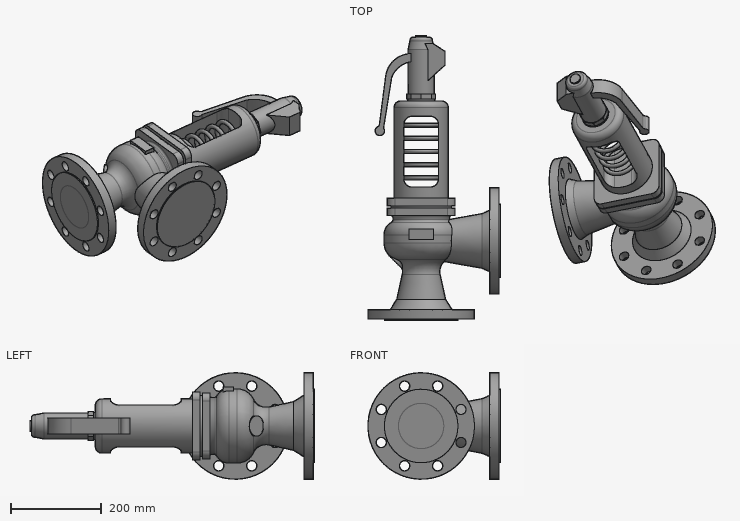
import cadquery as cq
import math


FACE_DISTANCE = 175.0
FLANGE_DIAMETER = 235.0
FLANGE_THICKNESS = 24.0
RAISED_FACE_DIAMETER = 162.0
RAISED_FACE_HEIGHT = 3.0
BOLT_CIRCLE_DIAMETER = 190.0
BOLT_HOLE_DIAMETER = 22.0
BOLT_COUNT = 8
BORE_DIAMETER = 100.0
BORE_PLUG_DEPTH = 10.0

FLANGE_BACK = FACE_DISTANCE - FLANGE_THICKNESS
HUB_RADIUS = 68.0

BODY_RADIUS = 82.0
BODY_BAND_TOP = 13.5
BODY_BAND_BOTTOM = -4.0
SHOULDER_ARC_RADIUS = 31.5
BELLY_ARC_RADIUS = 40.0
THROAT_RADIUS = 42.0
THROAT_BOTTOM = -74.0
INLET_CONE_BOTTOM = -128.5
INLET_CONE_RADIUS = 54.0
COLLAR_RADIUS = 62.5
COLLAR_BOTTOM = 47.0
COLLAR_TOP = 51.0

OUTLET_CONE_END = 134.5
OUTLET_CONE_RADIUS = 60.5
OUTLET_START = 20.0
OUTLET_START_RADIUS = 40.0

SQUARE_WIDTH = 150.0
BODY_SQUARE_DEPTH = 146.0
SQUARE_CORNER_RADIUS = 17.5
BODY_SQUARE_BOTTOM = 56.0
BODY_SQUARE_TOP = 72.5
BONNET_SQUARE_BOTTOM = 77.5
BONNET_SQUARE_TOP = 94.5
GASKET_RADIUS = 67.0

BONNET_RADIUS = 60.0
BONNET_TOP = 308.5
BONNET_TOP_FILLET = 15.0
WINDOW_WIDTH = 76.0
WINDOW_BOTTOM = 119.0
WINDOW_TOP = 274.5
WINDOW_CORNER_RADIUS = 18.0
COIL_COUNT = 5
COIL_PITCH = 29.0
LOWEST_COIL = 139.0
COIL_MEAN_RADIUS = 36.5
COIL_WIRE_RADIUS = 4.75

NUT_SIDES = 8
NUT_CORNER_DIAMETER = 64.0
NUT_BOTTOM = 312.5
NUT_TOP = 324.0
NUT_NECK_RADIUS = 30.0
CAP_RADIUS = 29.0
CAP_STRAIGHT_TOP = 421.5
CAP_TAPER_TOP = 441.0
CAP_TAPER_RADIUS = 25.0
CAP_CROWN = 449.0
CAP_CROWN_RADIUS = 19.0
CAP_CROWN_BULGE = 0.7
CAP_BUTTON_RADIUS = 12.0
CAP_TOP = 452.5

LEVER_WIDTH = 36.0
LEVER_KNOB = (-91.0, 242.5)
LEVER_KNOB_RADIUS = 10.5
LEVER_KNOB_FILLET = 6.0
LEVER_ROOT_X = -15.0
LEVER_ROOT_TOP = 413.0
LEVER_ROOT_BOTTOM = 395.0
LEVER_BEND_START_X = -22.0
OUTER_BEND_MIDDLE = (-61.0, 397.0)
OUTER_BEND_END = (-78.5, 362.0)
INNER_BEND_MIDDLE = (-50.0, 381.5)
INNER_BEND_END = (-64.5, 361.0)
ARM_TIP_OUTER_OFFSET = -3.0
ARM_TIP_INNER_OFFSET = 7.5
HOUSING_WIDTH = 50.0
HOUSING_REACH = 53.0
HOUSING_TOP = 434.5
HOUSING_TOP_CORNER_X = 27.0
HOUSING_SIDE_TOP = 417.5
HOUSING_SIDE_BOTTOM = 387.5
HOUSING_BOTTOM = 353.5
HOUSING_BOTTOM_CORNER_X = 15.5

BOSS_DIAMETER = 45.0
BOSS_FACE_CENTRE = (-56.0, -47.0)
BOSS_LENGTH = 30.0
PAD_WIDTH = 54.0
PAD_BOTTOM = 3.5
PAD_TOP = 26.5
PAD_FACE = 86.0
PAD_ROOT = 60.0

Y_AXIS = ((0, 0, 0), (0, 1, 0))
X_AXIS = ((0, 0, 0), (1, 0, 0))


def disc(radius, bottom, top):
    """Cylinder on the stem axis between two Y positions."""
    return cq.Workplane("XZ", origin=(0, bottom, 0)).circle(radius).extrude(bottom - top)


def pipe_flange():
    """Raised-face flange along Y with its sealing face at -FACE_DISTANCE."""
    shoulder = -FACE_DISTANCE + RAISED_FACE_HEIGHT
    flange = disc(FLANGE_DIAMETER / 2, shoulder, -FLANGE_BACK)
    holes = (
        cq.Workplane("XZ", origin=(0, shoulder, 0))
        .polarArray(BOLT_CIRCLE_DIAMETER / 2, 180 / BOLT_COUNT, 360, BOLT_COUNT)
        .circle(BOLT_HOLE_DIAMETER / 2)
        .extrude(-FLANGE_THICKNESS)
    )
    raised_face = disc(RAISED_FACE_DIAMETER / 2, -FACE_DISTANCE, -FLANGE_BACK)
    return flange.union(raised_face).cut(holes)


def blend_onto_arc(start, normal, centre, radius):
    """Concave arc that leaves start square to normal and touches a convex arc.

    Returns the radius of the concave arc and the point where the two touch.
    """
    gap_x = start[0] - centre[0]
    gap_y = start[1] - centre[1]
    along = gap_x * normal[0] + gap_y * normal[1]
    blend = (gap_x**2 + gap_y**2 - radius**2) / (2 * (radius - along))
    share = radius / (radius + blend)
    touch_x = centre[0] + share * (gap_x + blend * normal[0])
    touch_y = centre[1] + share * (gap_y + blend * normal[1])
    return blend, (touch_x, touch_y)


def body():
    """Bulbous body with inlet cone and collar."""
    throat = (THROAT_RADIUS, THROAT_BOTTOM)
    cone_slope = math.atan2(INLET_CONE_RADIUS - THROAT_RADIUS, THROAT_BOTTOM - INLET_CONE_BOTTOM)
    cone_normal = (math.cos(cone_slope), math.sin(cone_slope))
    belly_centre = (BODY_RADIUS - BELLY_ARC_RADIUS, BODY_BAND_BOTTOM)
    throat_blend, belly_end = blend_onto_arc(throat, cone_normal, belly_centre, BELLY_ARC_RADIUS)

    collar = (COLLAR_RADIUS, COLLAR_BOTTOM)
    shoulder_centre = (BODY_RADIUS - SHOULDER_ARC_RADIUS, BODY_BAND_TOP)
    collar_blend, shoulder_end = blend_onto_arc(collar, (1, 0), shoulder_centre, SHOULDER_ARC_RADIUS)
    flare = BODY_SQUARE_BOTTOM - COLLAR_TOP

    return (
        cq.Workplane("XY")
        .moveTo(0, -FLANGE_BACK)
        .lineTo(HUB_RADIUS, -FLANGE_BACK)
        .lineTo(INLET_CONE_RADIUS, INLET_CONE_BOTTOM)
        .lineTo(*throat)
        .radiusArc(belly_end, throat_blend)
        .radiusArc((BODY_RADIUS, BODY_BAND_BOTTOM), -BELLY_ARC_RADIUS)
        .lineTo(BODY_RADIUS, BODY_BAND_TOP)
        .radiusArc(shoulder_end, -SHOULDER_ARC_RADIUS)
        .radiusArc(collar, collar_blend)
        .lineTo(COLLAR_RADIUS, COLLAR_TOP)
        .radiusArc((COLLAR_RADIUS + flare, BODY_SQUARE_BOTTOM), flare)
        .lineTo(0, BODY_SQUARE_BOTTOM)
        .close()
        .revolve(360, *Y_AXIS)
    )


def outlet_neck():
    return (
        cq.Workplane("XY")
        .moveTo(OUTLET_START, 0)
        .lineTo(OUTLET_START, OUTLET_START_RADIUS)
        .lineTo(OUTLET_CONE_END, OUTLET_CONE_RADIUS)
        .lineTo(FLANGE_BACK, HUB_RADIUS)
        .lineTo(FLANGE_BACK, 0)
        .close()
        .revolve(360, *X_AXIS)
    )


def side_boss():
    """Round boss on the belly, facing halfway between -X and -Y."""
    face = cq.Plane(origin=(*BOSS_FACE_CENTRE, 0), xDir=(0, 0, 1), normal=(1, 1, 0))
    return cq.Workplane(face).circle(BOSS_DIAMETER / 2).extrude(BOSS_LENGTH)


def name_pad():
    """Flat rectangular pad on top of the body."""
    return (
        cq.Workplane("XY", origin=(0, (PAD_BOTTOM + PAD_TOP) / 2, PAD_ROOT))
        .rect(PAD_WIDTH, PAD_TOP - PAD_BOTTOM)
        .extrude(PAD_FACE - PAD_ROOT)
    )


def square_flange(depth, bottom, top):
    return (
        cq.Workplane("XZ", origin=(0, bottom, 0))
        .rect(SQUARE_WIDTH, depth)
        .extrude(bottom - top)
        .edges("|Y")
        .fillet(SQUARE_CORNER_RADIUS)
    )


def clamped_joint():
    lower = square_flange(BODY_SQUARE_DEPTH, BODY_SQUARE_BOTTOM, BODY_SQUARE_TOP)
    upper = square_flange(SQUARE_WIDTH, BONNET_SQUARE_BOTTOM, BONNET_SQUARE_TOP)
    gasket = disc(GASKET_RADIUS, BODY_SQUARE_TOP, BONNET_SQUARE_BOTTOM)
    return lower.union(gasket).union(upper)


def bonnet():
    """Round bonnet with a window right through it along Z."""
    barrel = disc(BONNET_RADIUS, BONNET_SQUARE_TOP, BONNET_TOP)
    barrel = barrel.faces(">Y").edges().fillet(BONNET_TOP_FILLET)
    window = (
        cq.Workplane("XY", origin=(0, (WINDOW_BOTTOM + WINDOW_TOP) / 2, 0))
        .rect(WINDOW_WIDTH, WINDOW_TOP - WINDOW_BOTTOM)
        .extrude(BONNET_RADIUS, both=True)
        .edges("|Z")
        .fillet(WINDOW_CORNER_RADIUS)
    )
    return barrel.cut(window)


def spring_coil(height):
    """One ring of the spring; its sides sink into the window walls."""
    return (
        cq.Workplane("XY")
        .center(COIL_MEAN_RADIUS, height)
        .circle(COIL_WIRE_RADIUS)
        .revolve(360, (-COIL_MEAN_RADIUS, 0, 0), (-COIL_MEAN_RADIUS, 1, 0))
    )


def lock_nut():
    """Octagonal nut with its corners on the X and Z axes."""
    nut = (
        cq.Workplane("XZ", origin=(0, NUT_BOTTOM, 0))
        .polygon(NUT_SIDES, NUT_CORNER_DIAMETER)
        .extrude(NUT_BOTTOM - NUT_TOP)
    )
    return nut.union(disc(NUT_NECK_RADIUS, BONNET_TOP, NUT_BOTTOM))


def cap():
    crown_rise = CAP_CROWN - CAP_TAPER_TOP
    crown_run = CAP_TAPER_RADIUS - CAP_CROWN_RADIUS
    dome = (
        cq.Workplane("XY")
        .moveTo(0, NUT_TOP)
        .lineTo(CAP_RADIUS, NUT_TOP)
        .lineTo(CAP_RADIUS, CAP_STRAIGHT_TOP)
        .lineTo(CAP_TAPER_RADIUS, CAP_TAPER_TOP)
        .threePointArc(
            (CAP_CROWN_RADIUS + CAP_CROWN_BULGE * crown_run, CAP_TAPER_TOP + CAP_CROWN_BULGE * crown_rise),
            (CAP_CROWN_RADIUS, CAP_CROWN),
        )
        .lineTo(0, CAP_CROWN)
        .close()
        .revolve(360, *Y_AXIS)
    )
    return dome.union(disc(CAP_BUTTON_RADIUS, CAP_CROWN, CAP_TOP))


def lever():
    """Curved lifting lever that ends in a round knob."""
    knob_x, knob_y = LEVER_KNOB
    arm = (
        cq.Workplane("XY")
        .moveTo(LEVER_ROOT_X, LEVER_ROOT_BOTTOM)
        .lineTo(LEVER_ROOT_X, LEVER_ROOT_TOP)
        .lineTo(LEVER_BEND_START_X, LEVER_ROOT_TOP)
        .threePointArc(OUTER_BEND_MIDDLE, OUTER_BEND_END)
        .lineTo(knob_x + ARM_TIP_OUTER_OFFSET, knob_y)
        .lineTo(knob_x + ARM_TIP_INNER_OFFSET, knob_y)
        .lineTo(*INNER_BEND_END)
        .threePointArc(INNER_BEND_MIDDLE, (LEVER_BEND_START_X, LEVER_ROOT_BOTTOM))
        .close()
        .extrude(LEVER_WIDTH / 2, both=True)
    )
    knob = (
        cq.Workplane("XY")
        .center(knob_x, knob_y)
        .circle(LEVER_KNOB_RADIUS)
        .extrude(LEVER_WIDTH / 2, both=True)
    )
    reach = 1.3 * LEVER_KNOB_RADIUS
    joints = cq.selectors.BoxSelector(
        (knob_x - reach, knob_y + LEVER_KNOB_RADIUS / 4, -1),
        (knob_x + reach, knob_y + reach, 1),
    )
    return arm.union(knob).edges(joints).fillet(LEVER_KNOB_FILLET)


def lever_housing():
    """Thick angular plate on the +X side of the cap."""
    outline = [
        (0, HOUSING_TOP),
        (HOUSING_TOP_CORNER_X, HOUSING_TOP),
        (HOUSING_REACH, HOUSING_SIDE_TOP),
        (HOUSING_REACH, HOUSING_SIDE_BOTTOM),
        (HOUSING_BOTTOM_CORNER_X, HOUSING_BOTTOM),
        (0, HOUSING_BOTTOM),
    ]
    return cq.Workplane("XY").polyline(outline).close().extrude(HOUSING_WIDTH / 2, both=True)


inlet_flange = pipe_flange()
outlet_flange = pipe_flange().rotate((0, 0, 0), (0, 0, 1), 90)

result = body().union(outlet_neck()).union(inlet_flange).union(outlet_flange)
result = result.union(side_boss()).union(name_pad()).union(clamped_joint())
result = result.union(bonnet()).union(lock_nut()).union(cap())
result = result.union(lever()).union(lever_housing())

for index in range(COIL_COUNT):
    result = result.union(spring_coil(LOWEST_COIL + index * COIL_PITCH))

bore_plug = disc(BORE_DIAMETER / 2, -FACE_DISTANCE, -FACE_DISTANCE + BORE_PLUG_DEPTH)
result = result.cut(bore_plug).union(bore_plug, clean=False)